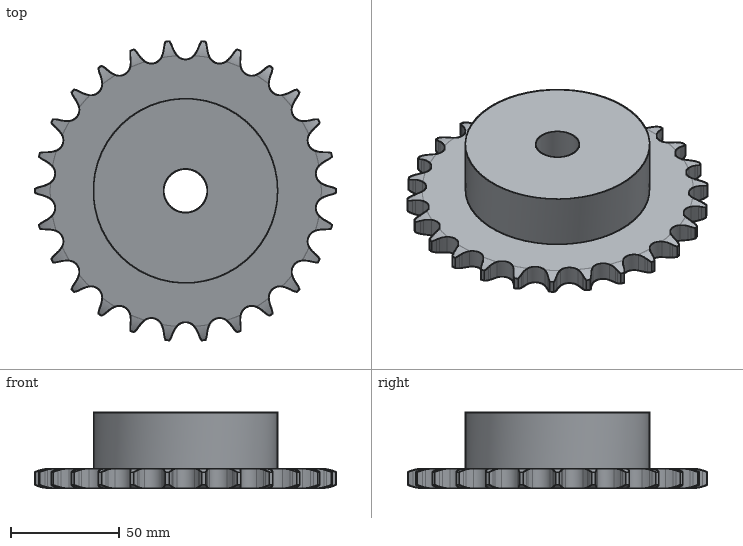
import cadquery as cq
import math

tooth_count = 26
outer_diameter = 139.0
pitch_diameter = 131.6
roller_diameter = 10.1
plate_thickness = 9.0
total_height = 35.0
hub_diameter = 85.0
bore_diameter = 20.0

rounding_start_diameter = 125.1
rounding_radius = 16.0

seat_clearance = 0.063
working_center_factor = 0.8
topping_center_factor = 1.4
contact_angle = math.radians(35 + 60 / tooth_count)
working_sweep = math.radians(18 - 56 / tooth_count)
half_pitch_angle = math.pi / tooth_count
topping_end_angle = math.radians(45)

outer_radius = outer_diameter / 2
pitch_radius = pitch_diameter / 2
seat_radius = roller_diameter / 2 + seat_clearance
working_center_distance = working_center_factor * roller_diameter
working_radius = seat_radius + working_center_distance
topping_center_distance = topping_center_factor * roller_diameter


def polar(center, radius, angle):
    """Point at the given radius and angle around a center."""
    return (center[0] + radius * math.cos(angle), center[1] + radius * math.sin(angle))


def mirrored(point):
    """Matching point on the other flank of the gap."""
    return (-point[0], point[1])


def make_blank():
    """Toothless plate, with the rim rounded off towards the outer diameter."""
    start_radius = rounding_start_diameter / 2
    rim_width = outer_radius - start_radius

    def rounding_drop(distance):
        return rounding_radius - math.sqrt(rounding_radius**2 - distance**2)

    middle_radius = start_radius + rim_width / 2
    middle_drop = rounding_drop(rim_width / 2)
    tip_drop = rounding_drop(rim_width)
    return (
        cq.Workplane("XZ")
        .moveTo(0, 0)
        .lineTo(start_radius, 0)
        .threePointArc((middle_radius, middle_drop), (outer_radius, tip_drop))
        .lineTo(outer_radius, plate_thickness - tip_drop)
        .threePointArc((middle_radius, plate_thickness - middle_drop), (start_radius, plate_thickness))
        .lineTo(0, plate_thickness)
        .close()
        .revolve(360, (0, 0), (0, 1))
    )


def make_gap():
    """Cutter for the tooth gap centered on the +Y axis."""
    roller_center = (0, pitch_radius)
    seat_bottom = (0, pitch_radius - seat_radius)
    seat_end = polar(roller_center, seat_radius, -contact_angle)

    working_center = polar(roller_center, working_center_distance, math.pi - contact_angle)
    flank_angle = contact_angle - working_sweep
    working_middle = polar(working_center, working_radius, -contact_angle + working_sweep / 2)
    working_end = polar(working_center, working_radius, -flank_angle)

    topping_center = polar(roller_center, topping_center_distance, -half_pitch_angle)
    along = topping_center[0] - working_end[0]
    outward = topping_center[1] - working_end[1]
    topping_radius = along * math.cos(flank_angle) - outward * math.sin(flank_angle)
    topping_start = polar(topping_center, topping_radius, math.pi - flank_angle)
    topping_middle_angle = (flank_angle + topping_end_angle) / 2
    topping_middle = polar(topping_center, topping_radius, math.pi - topping_middle_angle)
    topping_end = polar(topping_center, topping_radius, math.pi - topping_end_angle)

    return (
        cq.Workplane("XY")
        .moveTo(*mirrored(seat_end))
        .threePointArc(seat_bottom, seat_end)
        .threePointArc(working_middle, working_end)
        .lineTo(*topping_start)
        .threePointArc(topping_middle, topping_end)
        .lineTo(*mirrored(topping_end))
        .threePointArc(mirrored(topping_middle), mirrored(topping_start))
        .lineTo(*mirrored(working_end))
        .threePointArc(mirrored(working_middle), mirrored(seat_end))
        .close()
        .extrude(plate_thickness)
    )


def cut_teeth(blank):
    """Plate with all the tooth gaps removed."""
    gap = make_gap()
    toothed = blank
    for index in range(tooth_count):
        toothed = toothed.cut(gap.rotate((0, 0, 0), (0, 0, 1), index * 360 / tooth_count))
    return toothed


hub = cq.Workplane("XY").circle(hub_diameter / 2).extrude(total_height)
bore = cq.Workplane("XY").circle(bore_diameter / 2).extrude(total_height)

result = cut_teeth(make_blank()).union(hub).cut(bore)